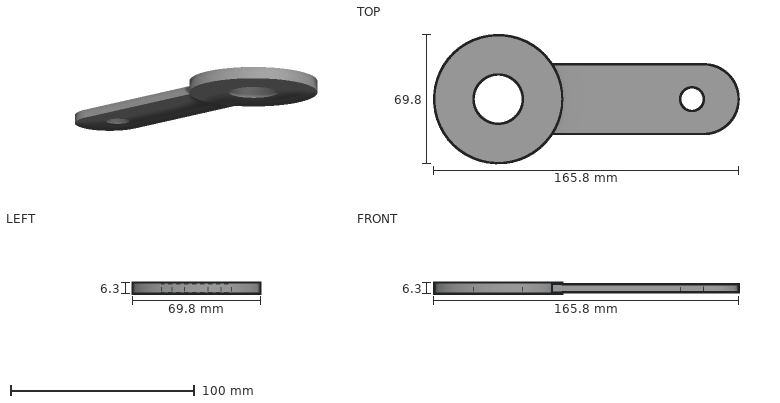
import cadquery as cq

disc_diameter = 69.8
disc_thickness = 6.3
bore_diameter = 26.7

overall_length = 165.8
arm_width = 38.1
arm_thickness = 4.5
arm_hole_diameter = 12.8
arm_hole_distance = 105.5

arm_end = overall_length - disc_diameter / 2
arm_straight_length = arm_end - arm_width / 2


def centred_cylinder(diameter, height, x=0):
    """Vertical cylinder centred on the mid-plane of the part."""
    return cq.Workplane("XY").center(x, 0).cylinder(height, diameter / 2)


disc = centred_cylinder(disc_diameter, disc_thickness)
arm_bar = cq.Workplane("XY").box(arm_straight_length, arm_width, arm_thickness, centered=(False, True, True))
arm_tip = centred_cylinder(arm_width, arm_thickness, arm_straight_length)
body = disc.union(arm_bar).union(arm_tip).clean()

bore = centred_cylinder(bore_diameter, disc_thickness)
arm_hole = centred_cylinder(arm_hole_diameter, disc_thickness, arm_hole_distance)

result = body.cut(bore).cut(arm_hole)